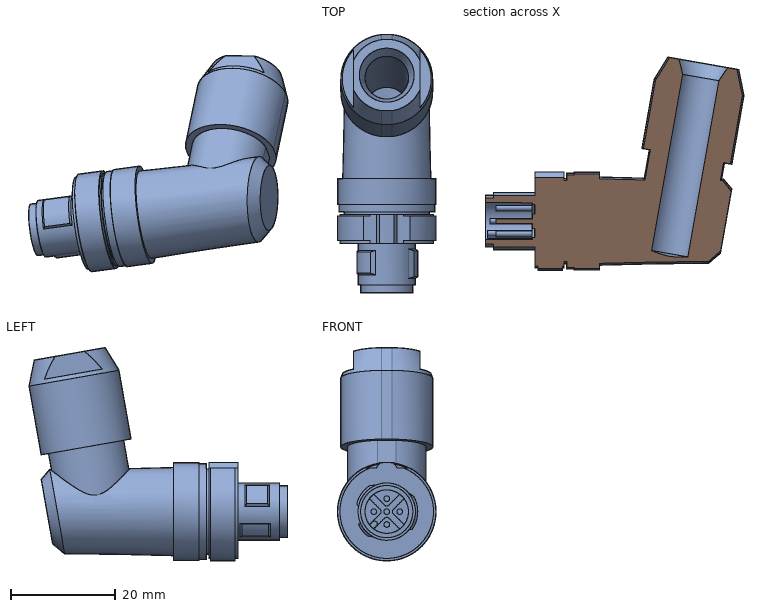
import cadquery as cq
import math

tip_radius = 5.0
barrel_radius = 5.5
nut_radius = 9.5
nut_lip_radius = 9.0
groove_radius = 8.2
collar_radius = 9.45
collar_step_radius = 9.25

tip_end = 1.55
nut_front = 9.5
nut_back = 15.1
nut_front_lip = 0.6
nut_back_lip = 0.3
collar_front = 15.6
collar_step_end = 17.05
collar_back = 21.95

body_front_radius = 8.5
body_mid_radius = 8.3
body_rear_radius = 8.15
body_mid_y = 29.8
body_stock_end = 48.65
end_face_y = 46.25
end_chamfer = 2.0

socket_radius = 4.15
insert_depth = 8.95
cross_half_width = 0.6
cross_depth = 0.5
cross_corner_radius = 0.55
contact_root = 1.0
pin_radius = 0.55
pin_spacing = 2.5
pin_tip_y = 2.0
center_pin_tip_y = 0.9
key_spacing = 3.35
key_angle = 225
key_front_y = 0.4

lug_radius = 5.95
lug_bevel = 0.35
lugs = [
    ((113, 122, 165, 170), 3.5, 8.2),
    ((204, 204, 232, 242), 3.3, 9.1),
    ((-39, -35, 29, 41), 2.8, 8.45),
]

rib_top_half_width = 1.3
rib_base_half_width = 2.0
nut_flat_z = 8.4

arm_tilt = 10.0
arm_y = 36.5
neck_radius = 7.55
neck_flat_half_width = 1.75
cap_radius = 8.85
cap_top_radius = 7.0
cap_flat_half_width = 1.0
cap_bottom = 12.6
cap_shoulder = 26.0
cap_top = 30.8
wrench_half_width = 6.4
wrench_bottom = 26.8
mouth_radius = 5.25
mouth_depth = 2.8
bore_radius = 4.15
bore_bottom = -6.35
bore_cone_depth = 1.0


def revolve_main(profile):
    """Revolve a closed (radius, y) sketch about the main axis."""
    return profile.close().revolve(360, (0, 0, 0), (0, 1, 0))


def rod(radius, front, back, x=0.0, z=0.0):
    """Cylinder along Y between two stations."""
    return cq.Workplane("XZ", origin=(x, front, z)).circle(radius).extrude(front - back)


def polar(radius, degrees):
    angle = math.radians(degrees)
    return (radius * math.cos(angle), radius * math.sin(angle))


def make_body():
    profile = (
        cq.Workplane("XY")
        .moveTo(0, collar_front)
        .lineTo(body_front_radius, collar_front)
        .lineTo(body_front_radius, collar_back)
        .threePointArc((body_mid_radius, body_mid_y), (body_rear_radius, body_stock_end))
        .lineTo(0, body_stock_end)
    )
    tilt = math.radians(arm_tilt)
    end_plane = cq.Plane(
        origin=(0, end_face_y, 0),
        xDir=(1, 0, 0),
        normal=(0, math.cos(tilt), -math.sin(tilt)),
    )
    beyond_end = cq.Workplane(end_plane).circle(2 * nut_radius).extrude(body_stock_end)
    body = revolve_main(profile).cut(beyond_end)
    return body.faces(">Y").edges().chamfer(end_chamfer)


def make_collar():
    collar = rod(collar_radius, collar_step_end, collar_back)
    step = rod(collar_step_radius, collar_front, collar_step_end)
    groove = rod(groove_radius, nut_back, collar_front)
    return collar.union(step).union(groove)


def make_nut():
    length = nut_back - nut_front
    rim = rod(nut_radius, nut_front + nut_front_lip, nut_back - nut_back_lip)
    nut = rod(nut_lip_radius, nut_front, nut_back).union(rim)
    above_flats = (
        cq.Workplane("XY")
        .box(2 * nut_radius, length, nut_radius, centered=(True, False, False))
        .translate((0, nut_front, nut_flat_z))
    )
    rib = (
        cq.Workplane("XZ", origin=(0, nut_front, 0))
        .moveTo(-rib_base_half_width, 0)
        .lineTo(-rib_base_half_width, nut_flat_z)
        .lineTo(-rib_top_half_width, nut_radius)
        .lineTo(rib_top_half_width, nut_radius)
        .lineTo(rib_base_half_width, nut_flat_z)
        .lineTo(rib_base_half_width, 0)
        .close()
        .extrude(-length)
        .intersect(rod(nut_radius, nut_front, nut_back))
    )
    return nut.cut(above_flats).union(rib)


def make_lug(angles, front, back):
    """Lug on the barrel with bevelled front and back ends."""
    base_start, top_start, top_end, base_end = angles
    ring = revolve_main(
        cq.Workplane("XY")
        .moveTo(tip_radius, front)
        .lineTo(barrel_radius, front)
        .lineTo(lug_radius, front + lug_bevel)
        .lineTo(lug_radius, back - lug_bevel)
        .lineTo(barrel_radius, back)
        .lineTo(tip_radius, back)
    )
    sector = (
        cq.Workplane("XZ", origin=(0, front, 0))
        .lineTo(*polar(barrel_radius, base_start))
        .lineTo(*polar(lug_radius, top_start))
        .threePointArc(polar(lug_radius, (top_start + top_end) / 2), polar(lug_radius, top_end))
        .lineTo(*polar(barrel_radius, base_end))
        .close()
        .extrude(front - back)
    )
    return ring.intersect(sector)


def make_plug():
    plug = rod(tip_radius, 0, tip_end).union(rod(barrel_radius, tip_end, nut_front))
    for angles, front, back in lugs:
        plug = plug.union(make_lug(angles, front, back))
    return plug


def make_cross():
    """Diagonal cross groove in the insert face, limited to the socket."""
    bar = (
        cq.Workplane("XY")
        .box(2 * socket_radius, cross_depth, 2 * cross_half_width, centered=(True, False, True))
        .translate((0, insert_depth, 0))
    )
    axis = ((0, 0, 0), (0, 1, 0))
    cross = bar.rotate(*axis, 45).union(bar.rotate(*axis, -45))
    center_reach = 2 * cross_half_width
    center_box = cq.selectors.BoxSelector(
        (-center_reach, insert_depth, -center_reach),
        (center_reach, insert_depth + cross_depth, center_reach),
    )
    cross = cross.edges("|Y").edges(center_box).fillet(cross_corner_radius)
    return cross.intersect(rod(socket_radius, insert_depth, insert_depth + cross_depth))


def make_contacts():
    contact_back = insert_depth + contact_root
    contacts = rod(pin_radius, center_pin_tip_y, contact_back)
    for angle in (0, 90, 180, 270):
        x, z = polar(pin_spacing, angle)
        contacts = contacts.union(rod(pin_radius, pin_tip_y, contact_back, x, z))
    return contacts


def make_key():
    """Coding key: a round-nosed bar joined to the socket wall."""
    x, z = polar(key_spacing, key_angle)
    nose = rod(pin_radius, key_front_y, insert_depth + cross_depth, x, z)
    key_length = insert_depth + cross_depth - key_front_y
    foot_length = (socket_radius + tip_radius) / 2 - key_spacing
    foot = (
        cq.Workplane("XY")
        .box(foot_length, key_length, 2 * pin_radius, centered=(False, False, True))
        .translate((key_spacing, key_front_y, 0))
        .rotate((0, 0, 0), (0, 1, 0), -key_angle)
    )
    return nose.union(foot)


def flat_distance(radius, half_width):
    """Distance from the axis to a chord of the given half width."""
    return math.sqrt(radius**2 - half_width**2)


def flat_slab(outline):
    """Slab across X whose (y, height) outline is mirrored about the arm axis."""
    mirrored = [(-y, height) for y, height in reversed(outline)]
    return cq.Workplane("YZ").polyline(outline + mirrored).close().extrude(nut_radius, both=True)


def place_on_arm(solid):
    """Lean an upright solid back and move it to the foot of the arm."""
    return solid.rotate((0, 0, 0), (1, 0, 0), -arm_tilt).translate((0, arm_y, 0))


def make_arm():
    neck_flat = flat_distance(neck_radius, neck_flat_half_width)
    neck = cq.Workplane("XY").circle(neck_radius).extrude(cap_bottom)
    neck = neck.intersect(flat_slab([(neck_flat, 0), (neck_flat, cap_bottom)]))

    cap = (
        cq.Workplane("XZ")
        .moveTo(0, cap_bottom)
        .lineTo(cap_radius, cap_bottom)
        .lineTo(cap_radius, cap_shoulder)
        .lineTo(cap_top_radius, cap_top)
        .lineTo(0, cap_top)
        .close()
        .revolve(360, (0, 0, 0), (0, 1, 0))
    )
    cap_flat = flat_distance(cap_radius, cap_flat_half_width)
    cap_top_flat = flat_distance(cap_top_radius, cap_flat_half_width)
    cap = cap.intersect(flat_slab([
        (cap_flat, cap_bottom),
        (cap_flat, cap_shoulder),
        (cap_top_flat, cap_top),
    ]))
    for side in (-1, 1):
        wrench_cut = (
            cq.Workplane("XY")
            .box(cap_radius, 2 * cap_radius, cap_top, centered=(True, True, False))
            .translate((side * (wrench_half_width + cap_radius / 2), 0, wrench_bottom))
        )
        cap = cap.cut(wrench_cut)
    return place_on_arm(neck.union(cap))


def make_cable_bore():
    bore = (
        cq.Workplane("XZ")
        .moveTo(0, bore_bottom - bore_cone_depth)
        .lineTo(bore_radius, bore_bottom)
        .lineTo(bore_radius, cap_top - mouth_depth)
        .lineTo(mouth_radius, cap_top)
        .lineTo(0, cap_top)
        .close()
        .revolve(360, (0, 0, 0), (0, 1, 0))
    )
    return place_on_arm(bore)


result = make_body().union(make_collar()).union(make_nut()).union(make_plug())
result = result.cut(rod(socket_radius, 0, insert_depth)).cut(make_cross())
result = result.union(make_contacts()).union(make_key())
result = result.union(make_arm()).cut(make_cable_bore())